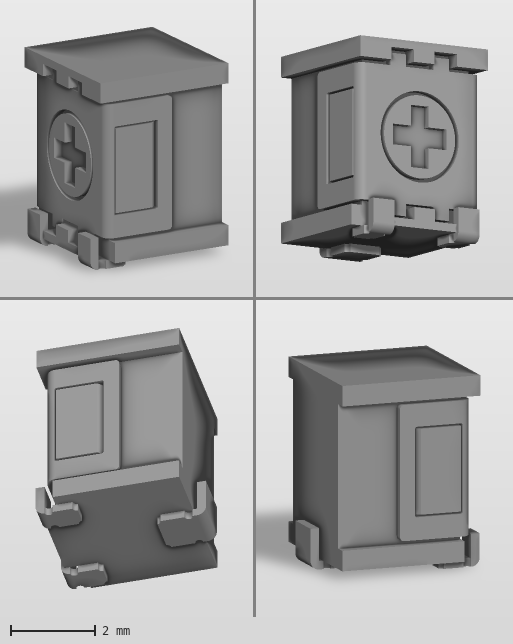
import cadquery as cq


plate_width = 3.6
plate_depth = 3.5
plate_height = 0.5
total_height = 4.7
foot_height = 0.2
core_width = 3.0
core_depth = 3.1
plate_top = foot_height + plate_height
cap_bottom = total_height - plate_height

wing_thickness = 0.22
front_thickness = 0.197
gap = 0.1
wing_length = 1.805
wing_corner_radius = 0.1
cover_front = core_depth + front_thickness
cover_half_width = core_width / 2 + wing_thickness
cover_bottom = plate_top + gap
cover_top = cap_bottom - gap
cover_middle = (cover_bottom + cover_top) / 2

tooth_width = 0.44
tooth_height = 0.3
tooth_offset = 0.605
notch_width = tooth_width + 2 * gap
tooth_places = (-tooth_offset, tooth_offset)

block_front = 3.52
block_height = plate_height - tooth_height
block_tab_width = 2 * tooth_offset - notch_width

disc_radius = 1.0
ring_width = 0.1
cross_length = 1.5
cross_width = 0.5

window_length = 1.2
window_height = 2.2
window_corner_radius = 0.04
tongue_clearance = 0.04
tongue_height = 2.08
ramp_size = 0.11
window_front = cover_front - wing_thickness
window_rear = window_front - window_length

upright_thickness = 0.22
scallop_radius = 0.1
front_terminal_width = 0.6
front_terminal_offset = 1.2
front_terminal_height = 0.8
front_foot_length = 0.79
front_terminal_inner = 3.38
rear_terminal_width = 1.025
rear_terminal_height = 1.0
rear_foot_length = 0.99
rear_terminal_inner = -0.1
rear_notch_offset = 0.2
front_notch_offset = scallop_radius


def block(x_range, depth_range, z_range):
    """Axis-aligned box between the given limits."""
    sizes = [high - low for low, high in (x_range, depth_range, z_range)]
    corner = (x_range[0], -depth_range[1], z_range[0])
    return cq.Workplane("XY").box(*sizes, centered=False).translate(corner)


def centred_block(width, depth_range, z_range, x_middle=0.0):
    """Box of the given width about x_middle."""
    return block((x_middle - width / 2, x_middle + width / 2), depth_range, z_range)


def make_frame():
    """Core with the lower plate, its front block and the upper plate."""
    frame = centred_block(core_width, (0, core_depth), (plate_top, cap_bottom))
    frame = frame.union(centred_block(plate_width, (0, core_depth), (foot_height, plate_top)))
    frame = frame.union(centred_block(plate_width, (0, plate_depth), (cap_bottom, total_height)))

    block_width = 2 * front_terminal_offset - front_terminal_width
    front_span = (core_depth, block_front)
    frame = frame.union(centred_block(block_width, front_span, (foot_height, foot_height + block_height)))
    frame = frame.union(centred_block(block_tab_width, front_span, (foot_height, plate_top)))

    for x in tooth_places:
        notch_span = (cap_bottom, cap_bottom + tooth_height)
        frame = frame.cut(centred_block(notch_width, (core_depth, plate_depth), notch_span, x))
    return frame


def make_cover():
    """U-shaped sheet with rounded outer edges and teeth above and below."""
    wing_rear = cover_front - wing_length
    cover = centred_block(2 * cover_half_width, (wing_rear, cover_front), (cover_bottom, cover_top))
    cover = cover.edges("|Z and <Y").fillet(wing_thickness)
    cover = cover.edges("|X and >Y").fillet(wing_corner_radius)
    cover = cover.cut(centred_block(core_width, (wing_rear, core_depth), (cover_bottom, cover_top)))

    sheet_span = (core_depth, cover_front)
    for x in tooth_places:
        for z_range in (
            (cover_bottom - tooth_height, cover_bottom),
            (cover_top, cover_top + tooth_height),
        ):
            cover = cover.union(centred_block(tooth_width, sheet_span, z_range, x))
    return cover


def disc_recesses():
    """Ring groove that bounds the disc, and the cross slot in its middle."""
    front = cq.Workplane("XZ", origin=(0, -cover_front, cover_middle))
    ring = front.circle(disc_radius + ring_width).circle(disc_radius).extrude(-front_thickness)
    cross = front.rect(cross_length, cross_width).extrude(-front_thickness)
    cross = cross.union(front.rect(cross_width, cross_length).extrude(-front_thickness))
    return ring, cross


def window_recess():
    """Window through the left wing, less the tongue that stays inside it."""
    window = block(
        (-cover_half_width, -core_width / 2),
        (window_rear, window_front),
        (cover_middle - window_height / 2, cover_middle + window_height / 2),
    )
    window = window.edges("|X").fillet(window_corner_radius)

    tongue_rear = window_rear + tongue_clearance
    tongue_front = window_front - tongue_clearance
    tongue = (
        cq.Workplane("XY", origin=(0, 0, cover_middle - tongue_height / 2))
        .moveTo(-core_width / 2, -tongue_rear)
        .lineTo(ramp_size - cover_half_width, -tongue_rear)
        .lineTo(-cover_half_width, -tongue_rear - ramp_size)
        .lineTo(-cover_half_width, -tongue_front)
        .lineTo(-core_width / 2, -tongue_front)
        .close()
        .extrude(tongue_height)
    )
    return window.cut(tongue)


def make_housing():
    """Core, plates and cover in one piece, with the recesses in the cover."""
    housing = make_frame().union(make_cover())
    for recess in disc_recesses():
        housing = housing.cut(recess)
    left_window = window_recess()
    return housing.cut(left_window).cut(left_window.mirror("YZ"))


def make_terminal(width, height, foot_length, notch_offset):
    """Bent strip with scalloped foot edges; its upright is toward -Y with the inner face on y = 0."""
    bend_radius = upright_thickness
    terminal = (
        cq.Workplane("YZ")
        .moveTo(0, 0)
        .radiusArc((-bend_radius, bend_radius), bend_radius)
        .lineTo(-upright_thickness, height)
        .lineTo(0, height)
        .lineTo(0, foot_height)
        .lineTo(foot_length, foot_height)
        .lineTo(foot_length, 0)
        .close()
        .extrude(width / 2, both=True)
    )
    scallops = (
        cq.Workplane("XY")
        .pushPoints([(x, y) for x in (-width / 2, width / 2) for y in (notch_offset, foot_length)])
        .circle(scallop_radius)
        .extrude(foot_height)
    )
    return terminal.cut(scallops)


def make_front_terminal(x_middle):
    """Upright in front of the housing, foot running back under it."""
    terminal = make_terminal(
        front_terminal_width, front_terminal_height, front_foot_length, front_notch_offset
    )
    return terminal.translate((x_middle, -front_terminal_inner, 0))


def make_rear_terminal():
    """Upright behind the housing, foot running forward under it."""
    terminal = make_terminal(
        rear_terminal_width, rear_terminal_height, rear_foot_length, rear_notch_offset
    )
    return terminal.mirror("XZ").translate((0, -rear_terminal_inner, 0))


housing = make_housing()
front_terminals = [make_front_terminal(x) for x in (-front_terminal_offset, front_terminal_offset)]
rear_terminal = make_rear_terminal()

result = cq.Compound.makeCompound(
    [housing.val(), *[terminal.val() for terminal in front_terminals], rear_terminal.val()]
)